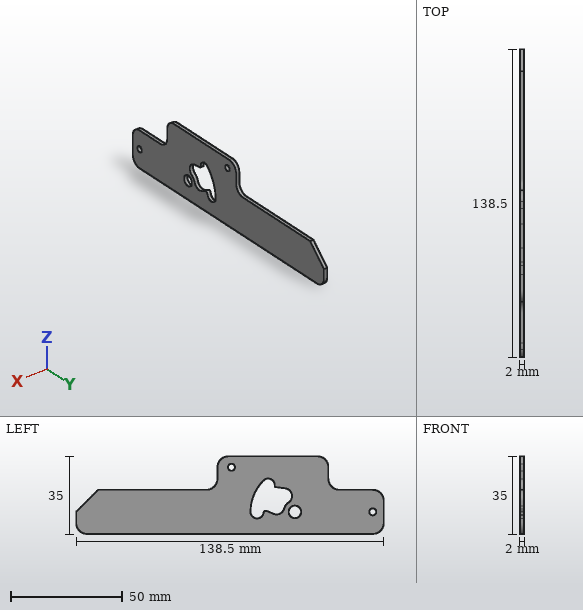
import cadquery as cq
import math

length = 138.5
height = 35.0
thickness = 2.0
arm_height = 20.0
corner_radius = 5.0
nose_chamfer = 10.0
tab_width = 50.0
tail_length = 24.9
tab_end = length - tail_length
tab_start = tab_end - tab_width

pin_diameter = 3.0
pin_inset = 5.0
tab_pin_offset = 6.4
pivot_diameter = 5.5
pivot_x = 98.5
pivot_z = arm_height / 2

outer_slot_path = 17.0
outer_slot_radius = 2.9
outer_slot_angles = (0, 45)
inner_slot_path = 8.6
inner_slot_radius = 3.5
inner_slot_angles = (16, 56)
throat_lower_slope = 23
throat_upper_slope = 7.5
throat_side_length = 6.2
throat_corner_distance = 4.5
lower_corner_radius = 1.1
upper_corner_radius = 0.4

cut_margin = 1.4
cut_depth = thickness + 2 * cut_margin

side_plane = cq.Plane(origin=(0, length / 2, 0), xDir=(0, -1, 0), normal=(-1, 0, 0))
cut_plane = cq.Plane(origin=(cut_margin, length / 2, 0), xDir=(0, -1, 0), normal=(-1, 0, 0))


def around_pivot(radius, angle):
    """Point at a given distance from the pivot and angle above the nose direction."""
    turn = math.radians(angle)
    return (pivot_x - radius * math.cos(turn), pivot_z + radius * math.sin(turn))


def shifted(point, distance, direction):
    """Point moved by a distance along a direction given in degrees."""
    turn = math.radians(direction)
    return (point[0] + distance * math.cos(turn), point[1] + distance * math.sin(turn))


def make_plate():
    corners = [
        (0, 0, corner_radius),
        (length, 0, corner_radius),
        (length, arm_height, corner_radius),
        (tab_end, arm_height, corner_radius),
        (tab_end, height, corner_radius),
        (tab_start, height, corner_radius),
        (tab_start, arm_height, corner_radius),
        (nose_chamfer, arm_height, 0),
        (0, arm_height - nose_chamfer, 0),
    ]
    outline = [(x, z) for x, z, _ in corners]
    plate = cq.Workplane(side_plane).polyline(outline).close().extrude(thickness)
    for x, z, radius in corners:
        if radius > 0:
            corner = side_plane.toWorldCoords((x, z, thickness / 2))
            plate = plate.edges("|X").edges(cq.NearestToPointSelector(corner.toTuple())).fillet(radius)
    return plate


def curved_slot(path_radius, end_radius, angles):
    start, end = angles
    middle = (start + end) / 2
    inner = path_radius - end_radius
    outer = path_radius + end_radius
    start_tip = shifted(around_pivot(path_radius, start), end_radius, 270 - start)
    end_tip = shifted(around_pivot(path_radius, end), end_radius, 90 - end)
    return (
        cq.Workplane(cut_plane)
        .moveTo(*around_pivot(inner, start))
        .threePointArc(around_pivot(inner, middle), around_pivot(inner, end))
        .threePointArc(end_tip, around_pivot(outer, end))
        .threePointArc(around_pivot(outer, middle), around_pivot(outer, start))
        .threePointArc(start_tip, around_pivot(inner, start))
        .close()
        .extrude(cut_depth)
    )


def throat_tangents():
    """Points where the lower and upper throat sides touch the inner slot's round ends."""
    lower_center, upper_center = [around_pivot(inner_slot_path, angle) for angle in inner_slot_angles]
    lower = shifted(lower_center, inner_slot_radius, -90 - throat_lower_slope)
    upper = shifted(upper_center, inner_slot_radius, 90 - throat_upper_slope)
    return lower, upper


def make_throat():
    lower, upper = throat_tangents()
    lower_center, upper_center = [around_pivot(inner_slot_path, angle) for angle in inner_slot_angles]
    outline = [
        shifted(lower, throat_side_length, 180 - throat_lower_slope),
        lower,
        lower_center,
        upper_center,
        upper,
        shifted(upper, throat_side_length, 180 - throat_upper_slope),
    ]
    return cq.Workplane(cut_plane).polyline(outline).close().extrude(cut_depth)


def make_window():
    outer_slot = curved_slot(outer_slot_path, outer_slot_radius, outer_slot_angles)
    inner_slot = curved_slot(inner_slot_path, inner_slot_radius, inner_slot_angles)
    window = outer_slot.union(inner_slot).union(make_throat())
    slopes = (throat_lower_slope, throat_upper_slope)
    radii = (lower_corner_radius, upper_corner_radius)
    for tangent, slope, radius in zip(throat_tangents(), slopes, radii):
        x, z = shifted(tangent, throat_corner_distance, 180 - slope)
        corner = cut_plane.toWorldCoords((x, z, cut_depth / 2))
        window = window.edges("|X").edges(cq.NearestToPointSelector(corner.toTuple())).fillet(radius)
    return window


def round_hole(x, z, diameter):
    return cq.Workplane(cut_plane).center(x, z).circle(diameter / 2).extrude(cut_depth)


result = (
    make_plate()
    .cut(make_window())
    .cut(round_hole(pivot_x, pivot_z, pivot_diameter))
    .cut(round_hole(tab_start + tab_pin_offset, height - pin_inset, pin_diameter))
    .cut(round_hole(length - pin_inset, pivot_z, pin_diameter))
)